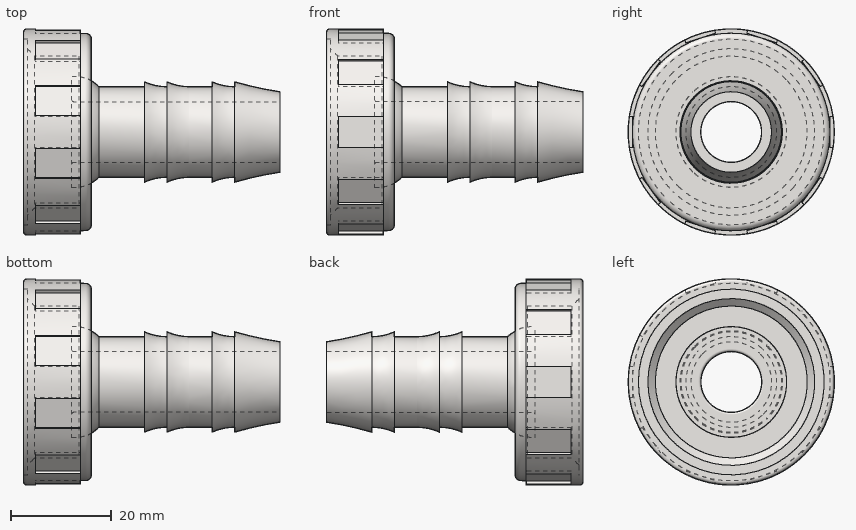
import cadquery as cq
import math

TOTAL_LENGTH = 51.0

NUT_RADIUS = 20.5
NUT_RIM_FILLET = 0.65
GRIP_END = 11.3
COLLAR_RADIUS = 19.65
COLLAR_FILLET = 1.15
NUT_LENGTH = 13.5

MOUTH_RADIUS = 18.45
MOUTH_DEPTH = 0.75
CONE_RADIUS = 16.6
THREAD_RADIUS = 15.1
CONE_LENGTH = 1.5
NUT_FLOOR = 11.0

POCKET_COUNT = 10
POCKET_START = 2.4
POCKET_WIDTH = 6.2
POCKET_FLOOR_RADIUS = COLLAR_RADIUS
POCKET_CUT_HEIGHT = 2 * (NUT_RADIUS - POCKET_FLOOR_RADIUS)

HEAD_FACE = 9.55
HEAD_RADIUS = 11.0
HEAD_LIP = 0.9
SEAT_ARC_RADIUS = 6.1
NECK_RADIUS = 9.05
BARB_RADIUS = 10.0
BARB_LENGTH = 4.5
TIP_RADIUS = 8.0
TIP_LENGTH = 9.05
TIP_SAG = 0.15
BORE_RADIUS = 6.0
BORE_FILLET = 0.5

SEAT_START = HEAD_FACE + HEAD_LIP
SEAT_DROP = HEAD_RADIUS - NECK_RADIUS
SEAT_END = SEAT_START + math.sqrt(2 * SEAT_ARC_RADIUS * SEAT_DROP - SEAT_DROP**2)

TIP_START = TOTAL_LENGTH - TIP_LENGTH
OUTER_PAIR_START = TIP_START - BARB_LENGTH
INNER_PAIR_END = OUTER_PAIR_START - BARB_LENGTH
INNER_PAIR_START = INNER_PAIR_END - 2 * BARB_LENGTH


def revolve_about_x(profile):
    """Turn a closed half profile, drawn as (X, radius), about the X axis."""
    return profile.close().revolve(360, (0, 0, 0), (1, 0, 0))


def seat_point(x):
    """Point of the rounded seat at a place along X; the seat leaves the head's lip tangentially."""
    height = math.sqrt(SEAT_ARC_RADIUS**2 - (x - SEAT_START) ** 2)
    return (x, HEAD_RADIUS - SEAT_ARC_RADIUS + height)


def nut_blank():
    seat_middle = (NUT_FLOOR + NUT_LENGTH) / 2
    cone_end = MOUTH_DEPTH + CONE_LENGTH
    profile = (
        cq.Workplane("XY")
        .moveTo(0, MOUTH_RADIUS)
        .lineTo(0, NUT_RADIUS)
        .lineTo(GRIP_END, NUT_RADIUS)
        .lineTo(GRIP_END, COLLAR_RADIUS)
        .lineTo(NUT_LENGTH, COLLAR_RADIUS)
        .lineTo(*seat_point(NUT_LENGTH))
        .threePointArc(seat_point(seat_middle), seat_point(NUT_FLOOR))
        .lineTo(NUT_FLOOR, THREAD_RADIUS)
        .lineTo(cone_end, THREAD_RADIUS)
        .lineTo(MOUTH_DEPTH, CONE_RADIUS)
        .lineTo(MOUTH_DEPTH, MOUTH_RADIUS)
    )
    blank = revolve_about_x(profile)
    blank = blank.faces("<X").edges(cq.selectors.RadiusNthSelector(-1)).fillet(NUT_RIM_FILLET)
    return blank.faces(">X").edges(cq.selectors.RadiusNthSelector(-1)).fillet(COLLAR_FILLET)


def grip_pocket(angle):
    """Flat-floored pocket, open outward and towards the collar."""
    return (
        cq.Workplane("XY")
        .box(
            GRIP_END - POCKET_START,
            POCKET_CUT_HEIGHT,
            POCKET_WIDTH,
            centered=(False, False, True),
        )
        .translate((POCKET_START, POCKET_FLOOR_RADIUS, 0))
        .rotate((0, 0, 0), (1, 0, 0), angle)
    )


def make_union_nut():
    nut = nut_blank()
    for index in range(POCKET_COUNT):
        nut = nut.cut(grip_pocket(180 + index * 360 / POCKET_COUNT))
    return nut


def add_barb(profile, start):
    """A square step out to the crest, then a hollow arc that runs tangentially into the neck."""
    crest_height = BARB_RADIUS - NECK_RADIUS
    arc_radius = (BARB_LENGTH**2 + crest_height**2) / (2 * crest_height)
    half_angle = math.asin(BARB_LENGTH / arc_radius) / 2
    end = start + BARB_LENGTH
    slope_middle = (
        end - arc_radius * math.sin(half_angle),
        NECK_RADIUS + arc_radius * (1 - math.cos(half_angle)),
    )
    return profile.lineTo(start, BARB_RADIUS).threePointArc(slope_middle, (end, NECK_RADIUS))


def add_tip(profile):
    """The long last barb, slightly hollow, that ends at the bore."""
    straight_middle_radius = (BARB_RADIUS + TIP_RADIUS) / 2
    tip_middle = (TIP_START + TIP_LENGTH / 2, straight_middle_radius - TIP_SAG)
    return (
        profile.lineTo(TIP_START, BARB_RADIUS)
        .threePointArc(tip_middle, (TOTAL_LENGTH, TIP_RADIUS))
        .lineTo(TOTAL_LENGTH, BORE_RADIUS)
    )


def make_hose_tail():
    seat_middle = (SEAT_START + SEAT_END) / 2
    profile = (
        cq.Workplane("XY")
        .moveTo(HEAD_FACE, BORE_RADIUS)
        .lineTo(HEAD_FACE, HEAD_RADIUS)
        .lineTo(SEAT_START, HEAD_RADIUS)
        .threePointArc(seat_point(seat_middle), (SEAT_END, NECK_RADIUS))
        .lineTo(INNER_PAIR_START, NECK_RADIUS)
    )
    profile = add_barb(profile, INNER_PAIR_START)
    profile = add_barb(profile, INNER_PAIR_START + BARB_LENGTH)
    profile = profile.lineTo(OUTER_PAIR_START, NECK_RADIUS)
    profile = add_barb(profile, OUTER_PAIR_START)
    profile = add_tip(profile)
    tail = revolve_about_x(profile)
    return tail.faces("<X").edges(cq.selectors.RadiusNthSelector(0)).fillet(BORE_FILLET)


union_nut = make_union_nut()
hose_tail = make_hose_tail()

result = cq.Compound.makeCompound([union_nut.val(), hose_tail.val()])